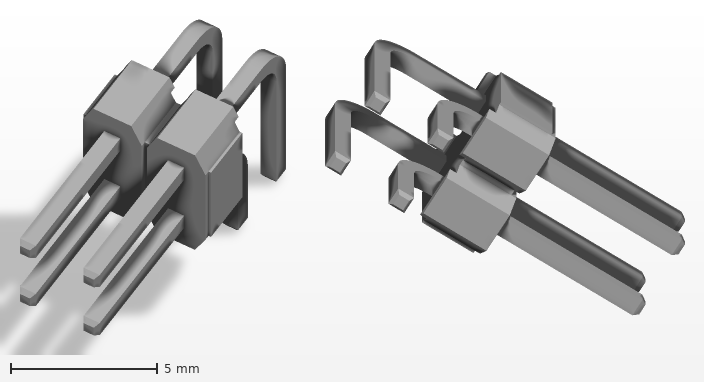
import cadquery as cq
import math


PITCH = 2.54
COLUMNS = 2
ROWS = 2

housing_height = 5.0
housing_depth = PITCH
side_pad_thickness = 0.1
side_pad_front_setback = 0.2
housing_width = PITCH - 2 * side_pad_thickness
housing_top_width = 1.5
side_height = 3.4
rear_recess_depth = 0.27
rear_lip_height = 0.41

pin_size = 0.64
bend_inner_radius = 1.0
bend_outer_radius = bend_inner_radius + pin_size
pin_front_reach = 5.8
bend_gap_behind_housing = 0.04
pin_drop_below_housing = 3.04
tip_length = 0.2
tip_inset = 0.12
tip_end_size = pin_size - 2 * tip_inset

housing_front = -housing_depth
recess_floor = -rear_recess_depth
pin_front_end = housing_front - pin_front_reach + tip_length
pin_bottom_end = -housing_height / 2 - pin_drop_below_housing + tip_length


def housing_block():
    """Eight-sided block, bevelled along its top and bottom side edges."""
    half_width = housing_width / 2
    half_top = housing_top_width / 2
    half_side = side_height / 2
    half_height = housing_height / 2
    return (
        cq.Workplane("XZ")
        .moveTo(-half_top, -half_height)
        .lineTo(half_top, -half_height)
        .lineTo(half_width, -half_side)
        .lineTo(half_width, half_side)
        .lineTo(half_top, half_height)
        .lineTo(-half_top, half_height)
        .lineTo(-half_width, half_side)
        .lineTo(-half_width, -half_side)
        .close()
        .extrude(housing_depth)
    )


def rear_recess():
    """Channel across the full width of the rear face, leaving a lip above and below."""
    recess_height = housing_height - 2 * rear_lip_height
    return (
        cq.Workplane("XY")
        .box(PITCH, rear_recess_depth, recess_height)
        .translate((0, -rear_recess_depth / 2, 0))
    )


def side_pads():
    """Thin pads on both sides that fill the module out to the full pitch."""
    pad_front = housing_front + side_pad_front_setback
    pad_depth = recess_floor - pad_front
    return (
        cq.Workplane("XY")
        .box(PITCH, pad_depth, side_height)
        .translate((0, (pad_front + recess_floor) / 2, 0))
    )


def pin_tip(plane_name, base_center):
    """Tapered pin end, growing from its base along the normal of the named plane."""
    return (
        cq.Workplane(plane_name, origin=base_center)
        .rect(pin_size, pin_size)
        .workplane(offset=tip_length)
        .rect(tip_end_size, tip_end_size)
        .loft(ruled=True)
    )


def bent_pin(row):
    """Square pin through the housing, bent down behind it; higher rows reach further back."""
    center_z = (row - (ROWS - 1) / 2) * PITCH
    top = center_z + pin_size / 2
    underside = center_z - pin_size / 2
    bend_start = bend_gap_behind_housing + row * PITCH
    bend_center_z = underside - bend_inner_radius
    leg_front = bend_start + bend_inner_radius
    leg_rear = bend_start + bend_outer_radius
    diagonal = math.sqrt(0.5)
    outer_middle = (bend_start + bend_outer_radius * diagonal, bend_center_z + bend_outer_radius * diagonal)
    inner_middle = (bend_start + bend_inner_radius * diagonal, bend_center_z + bend_inner_radius * diagonal)

    shank = (
        cq.Workplane("YZ")
        .moveTo(pin_front_end, underside)
        .lineTo(pin_front_end, top)
        .lineTo(bend_start, top)
        .threePointArc(outer_middle, (leg_rear, bend_center_z))
        .lineTo(leg_rear, pin_bottom_end)
        .lineTo(leg_front, pin_bottom_end)
        .lineTo(leg_front, bend_center_z)
        .threePointArc(inner_middle, (bend_start, underside))
        .close()
        .extrude(pin_size / 2, both=True)
    )
    front_tip = pin_tip("XZ", (0, pin_front_end, center_z))
    bottom_tip = pin_tip("YX", (0, (leg_front + leg_rear) / 2, pin_bottom_end))
    return shank.union(front_tip).union(bottom_tip)


def header_module():
    """One column: a housing with its pins as a single solid, centred on X = 0."""
    module = housing_block().cut(rear_recess())
    for row in range(ROWS):
        module = module.union(bent_pin(row))
    return module.union(side_pads()).solids()


modules = []
for column in range(COLUMNS):
    column_x = (column - (COLUMNS - 1) / 2) * PITCH
    modules.append(header_module().translate((column_x, 0, 0)))

result = cq.Compound.makeCompound([module.val() for module in modules])